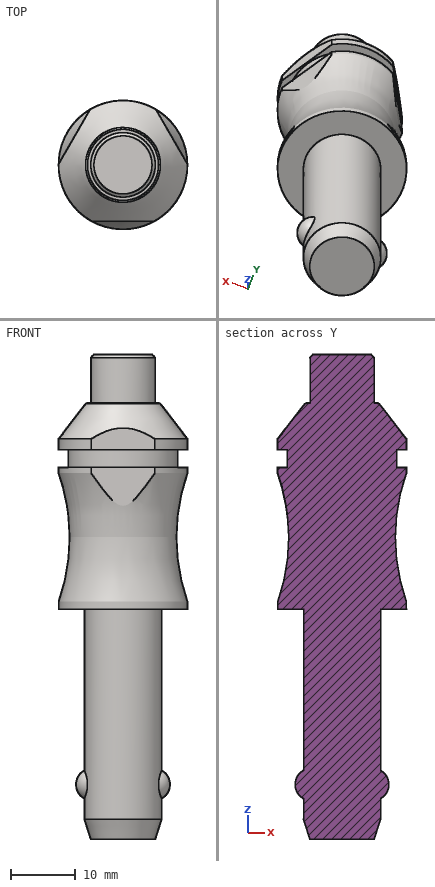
import cadquery as cq
import math

shank_radius = 6.0
tip_radius = 5.0
tip_height = 3.1
shank_length = 35.6

body_radius = 10.0
base_rim_height = 1.2
waist_radius = 8.3
waist_z = 46.8
sleeve_rim_z = 56.7
sleeve_top_z = 57.6

groove_radius = 8.5
cap_bottom_z = 60.3
cap_rim_z = 62.0
cap_cone_radius = 6.4
cap_cone_z = 66.7
cap_lip_radius = 5.8
cap_top_z = 67.6
cap_face_radius = 5.5
cap_edge_drop = 0.15

button_radius = 5.0
button_chamfer = 0.5
overall_height = 75.1

flat_distance = 8.7
flat_angles = (30, 150, 270)

ball_radius = 2.5
ball_reach = 7.3
ball_z = 8.5


def flare_point(z_rim):
    """Midpoint of the arc that is vertical at the waist and reaches the body radius at z_rim."""
    rise = z_rim - waist_z
    flare = body_radius - waist_radius
    arc_radius = (rise**2 + flare**2) / (2 * flare)
    half_angle = math.asin(abs(rise) / arc_radius) / 2
    radius = waist_radius + arc_radius * (1 - math.cos(half_angle))
    height = waist_z + math.copysign(arc_radius * math.sin(half_angle), rise)
    return (radius, height)


def make_turned_body():
    """Shank, waisted sleeve, grooved cap and push button as one revolved profile."""
    base_rim_z = shank_length + base_rim_height
    profile = (
        cq.Workplane("XZ")
        .moveTo(0, 0)
        .lineTo(tip_radius, 0)
        .lineTo(shank_radius, tip_height)
        .lineTo(shank_radius, shank_length)
        .lineTo(body_radius, shank_length)
        .lineTo(body_radius, base_rim_z)
        .threePointArc(flare_point(base_rim_z), (waist_radius, waist_z))
        .threePointArc(flare_point(sleeve_rim_z), (body_radius, sleeve_rim_z))
        .lineTo(body_radius, sleeve_top_z)
        .lineTo(groove_radius, sleeve_top_z)
        .lineTo(groove_radius, cap_bottom_z)
        .lineTo(body_radius, cap_bottom_z)
        .lineTo(body_radius, cap_rim_z)
        .lineTo(cap_cone_radius, cap_cone_z)
        .lineTo(cap_lip_radius, cap_top_z - cap_edge_drop)
        .lineTo(cap_face_radius, cap_top_z)
        .lineTo(button_radius, cap_top_z)
        .lineTo(button_radius, overall_height - button_chamfer)
        .lineTo(button_radius - button_chamfer, overall_height)
        .lineTo(0, overall_height)
        .close()
    )
    return profile.revolve(360, (0, 0, 0), (0, 1, 0))


def cut_flats(body):
    """Three equally spaced grip flats, from the waist up through the cap."""
    cutter_height = cap_top_z - waist_z
    for angle in flat_angles:
        cutter = (
            cq.Workplane("XY")
            .box(body_radius, 2 * body_radius, cutter_height, centered=(False, True, False))
            .translate((flat_distance, 0, waist_z))
            .rotate((0, 0, 0), (0, 0, 1), angle)
        )
        body = body.cut(cutter)
    return body


def add_locking_balls(body):
    """Two opposed locking balls bulging from the shank near its tip."""
    for side in (-1, 1):
        center = (side * (ball_reach - ball_radius), 0, ball_z)
        body = body.union(cq.Workplane("XY").sphere(ball_radius).translate(center))
    return body


result = add_locking_balls(cut_flats(make_turned_body()))